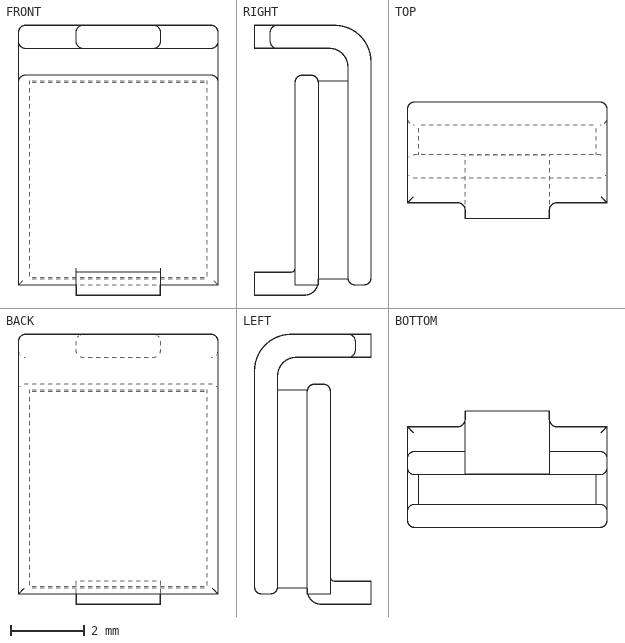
import cadquery as cq

WIDTH = 5.44
DEPTH = 3.18
HEIGHT = 7.36

SHEET = 0.635
GAP = 0.805
RIM_RADIUS = 0.2
PLATE_BOTTOM = 0.28
FRONT_PLATE_TOP = 6.0

OUTER_BEND_RADIUS = 1.0
INNER_BEND_RADIUS = 0.5

TERMINAL_WIDTH = 2.3
NECK_LENGTH = 0.43
NECK_CORNER_RADIUS = 0.2
FOOT_OUTER_RADIUS = 0.38
FOOT_INNER_RADIUS = 0.1

SPACER_SIDE_INSET = 0.3
SPACER_END_INSET = 0.16

BACK_PLATE_FRONT = -SHEET
FRONT_PLATE_BACK = BACK_PLATE_FRONT - GAP
FRONT_PLATE_FRONT = FRONT_PLATE_BACK - SHEET
TERMINAL_END = -DEPTH
FLAP_END = TERMINAL_END + NECK_LENGTH

TOLERANCE = 1e-4


def box_between(width, y_range, z_range):
    """Box centred on X that spans the given Y and Z ranges."""
    y_low, y_high = y_range
    z_low, z_high = z_range
    box = cq.Workplane("XY").box(width, y_high - y_low, z_high - z_low, centered=(True, False, False))
    return box.translate((0, y_low, z_low))


def is_back_plate_rim(edge):
    """True for the edges around the broad faces, leaving the terminal end square."""
    center = edge.Center()
    crosses_sheet = abs(edge.Length() - SHEET) < TOLERANCE
    spans_width = abs(edge.Length() - WIDTH) < TOLERANCE
    bend_seam = spans_width and center.z > PLATE_BOTTOM + TOLERANCE
    on_terminal_end = center.y < TERMINAL_END + TOLERANCE
    return not (crosses_sheet or bend_seam or on_terminal_end)


def make_back_plate():
    """Upright plate bent forward at the top into a flap with a narrow terminal."""
    flap_underside = HEIGHT - SHEET
    plate = (
        cq.Workplane("YZ")
        .moveTo(0, PLATE_BOTTOM)
        .lineTo(0, HEIGHT - OUTER_BEND_RADIUS)
        .radiusArc((-OUTER_BEND_RADIUS, HEIGHT), -OUTER_BEND_RADIUS)
        .lineTo(TERMINAL_END, HEIGHT)
        .lineTo(TERMINAL_END, flap_underside)
        .lineTo(BACK_PLATE_FRONT - INNER_BEND_RADIUS, flap_underside)
        .radiusArc((BACK_PLATE_FRONT, flap_underside - INNER_BEND_RADIUS), INNER_BEND_RADIUS)
        .lineTo(BACK_PLATE_FRONT, PLATE_BOTTOM)
        .close()
        .extrude(WIDTH / 2, both=True)
    )
    flap_layer = (flap_underside, HEIGHT)
    neck_range = (TERMINAL_END, FLAP_END)
    neck_sides = box_between(WIDTH, neck_range, flap_layer).cut(
        box_between(TERMINAL_WIDTH, neck_range, flap_layer)
    )
    plate = plate.cut(neck_sides)

    neck_corners = cq.selectors.BoxSelector(
        (-TERMINAL_WIDTH / 2 - TOLERANCE, FLAP_END - TOLERANCE, flap_underside),
        (TERMINAL_WIDTH / 2 + TOLERANCE, FLAP_END + TOLERANCE, HEIGHT),
    )
    plate = plate.edges("|Z").edges(neck_corners).fillet(NECK_CORNER_RADIUS)
    return plate.edges().filter(is_back_plate_rim).fillet(RIM_RADIUS)


def make_front_plate():
    """Flat plate, rounded everywhere except around its square bottom end."""
    plate = box_between(
        WIDTH, (FRONT_PLATE_FRONT, FRONT_PLATE_BACK), (PLATE_BOTTOM, FRONT_PLATE_TOP)
    )
    return plate.edges("not <Z").fillet(RIM_RADIUS)


def make_foot():
    """Terminal bent forward from the bottom of the front plate."""
    foot_top = SHEET
    bend_top = foot_top + FOOT_INNER_RADIUS
    return (
        cq.Workplane("YZ")
        .moveTo(FRONT_PLATE_BACK, bend_top)
        .lineTo(FRONT_PLATE_BACK, FOOT_OUTER_RADIUS)
        .radiusArc((FRONT_PLATE_BACK - FOOT_OUTER_RADIUS, 0), FOOT_OUTER_RADIUS)
        .lineTo(TERMINAL_END, 0)
        .lineTo(TERMINAL_END, foot_top)
        .lineTo(FRONT_PLATE_FRONT - FOOT_INNER_RADIUS, foot_top)
        .radiusArc((FRONT_PLATE_FRONT, bend_top), -FOOT_INNER_RADIUS)
        .close()
        .extrude(TERMINAL_WIDTH / 2, both=True)
    )


def make_spacer():
    """Block that joins the two plates, set in from the edges of the front plate."""
    return box_between(
        WIDTH - 2 * SPACER_SIDE_INSET,
        (FRONT_PLATE_BACK, BACK_PLATE_FRONT),
        (PLATE_BOTTOM + SPACER_END_INSET, FRONT_PLATE_TOP - SPACER_END_INSET),
    )


result = make_back_plate().union(make_spacer()).union(make_front_plate()).union(make_foot())